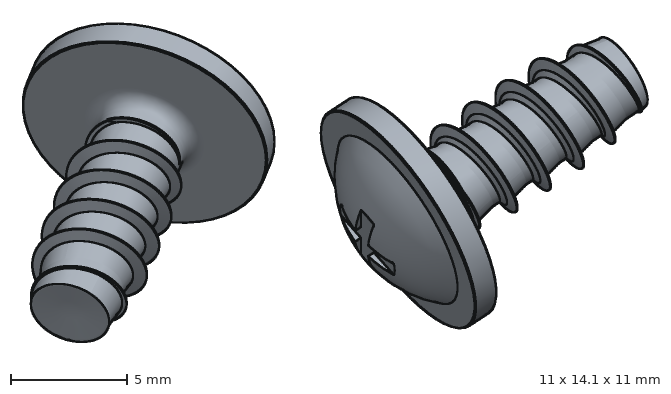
import cadquery as cq
import math


TOTAL_LENGTH = 14.12
FLANGE_DIAMETER = 11.0
FLANGE_THICKNESS = 1.19
FLANGE_CHAMFER = 0.05
DOME_RADIUS = 4.25
SPHERE_RADIUS = 5.55
SLOT_WIDTH = 0.92
SLOT_DEPTH = 0.31

NECK_RADIUS = 1.98
NECK_LENGTH = 1.24
NECK_TAPER_LENGTH = 0.76
HEAD_FILLET = 0.7
CORE_RADIUS = 1.76
DISH_RADIUS = 1.64
DISH_DEPTH = 0.23

FULL_START_Y = 8.09
FULL_TURNS = 3
FULL_LENGTH = 5.4
CREST_RADIUS = 2.5
CREST_WIDTH = 0.05
FOOT_RADIUS = 2.02
FOOT_OFFSET = 0.18
ROOT_RADIUS = 1.55
ROOT_HEAD_OFFSET = 0.54
ROOT_TIP_OFFSET = 0.31
LEAD_IN_TURNS = 1.25
LEAD_IN_SINK = 0.51

LEDGE_RADIUS = 2.17
LEDGE_THICKNESS = 0.07
LEDGE_START_TURN = -LEAD_IN_TURNS
LEDGE_MIDDLE_TURN = -1.0
LEDGE_END_TURN = -0.9

COLLAR_RADIUS = 1.98
COLLAR_SLOPE = 0.2
COLLAR_LENGTH = 1.35
TIP_TAPER_SLOPE = 0.2
CREST_CLEARANCE = 0.14

PIECES_PER_TURN = 2
PIECE_STEPS = 8

SLOT_CORNER_RADIUS = SLOT_WIDTH / math.sqrt(2)
APEX_Y = TOTAL_LENGTH + SPHERE_RADIUS - math.sqrt(SPHERE_RADIUS**2 - SLOT_CORNER_RADIUS**2)
DOME_HEIGHT = SPHERE_RADIUS - math.sqrt(SPHERE_RADIUS**2 - DOME_RADIUS**2)
FLANGE_RADIUS = FLANGE_DIAMETER / 2
FLANGE_TOP_Y = APEX_Y - DOME_HEIGHT
FLANGE_BOTTOM_Y = FLANGE_TOP_Y - FLANGE_THICKNESS
NECK_END_Y = FLANGE_BOTTOM_Y - NECK_LENGTH
PITCH = FULL_LENGTH / FULL_TURNS
RUN_OUT_SINK = CREST_RADIUS - CORE_RADIUS
LAST_TURN = FULL_START_Y / PITCH


def make_body():
    """Head, neck and plain core as one revolved outline (radius, Y)."""
    half_sweep = math.asin(DOME_RADIUS / SPHERE_RADIUS) / 2
    dome_middle = (
        SPHERE_RADIUS * math.sin(half_sweep),
        APEX_Y - SPHERE_RADIUS * (1 - math.cos(half_sweep)),
    )
    fillet_reach = HEAD_FILLET * (1 - math.sqrt(0.5))
    return (
        cq.Workplane("XY")
        .lineTo(CORE_RADIUS, 0)
        .lineTo(CORE_RADIUS, NECK_END_Y - NECK_TAPER_LENGTH)
        .lineTo(NECK_RADIUS, NECK_END_Y)
        .lineTo(NECK_RADIUS, FLANGE_BOTTOM_Y - HEAD_FILLET)
        .threePointArc(
            (NECK_RADIUS + fillet_reach, FLANGE_BOTTOM_Y - fillet_reach),
            (NECK_RADIUS + HEAD_FILLET, FLANGE_BOTTOM_Y),
        )
        .lineTo(FLANGE_RADIUS - FLANGE_CHAMFER, FLANGE_BOTTOM_Y)
        .lineTo(FLANGE_RADIUS, FLANGE_BOTTOM_Y + FLANGE_CHAMFER)
        .lineTo(FLANGE_RADIUS, FLANGE_TOP_Y - FLANGE_CHAMFER)
        .lineTo(FLANGE_RADIUS - FLANGE_CHAMFER, FLANGE_TOP_Y)
        .lineTo(DOME_RADIUS, FLANGE_TOP_Y)
        .threePointArc(dome_middle, (0, APEX_Y))
        .close()
        .revolve(360, (0, 0, 0), (0, 1, 0))
    )


def helix_point(turn, offset, radius):
    """Point of the thread, with the offset measured from the crest toward the tip."""
    angle = 2 * math.pi * turn
    y = FULL_START_Y - PITCH * turn - offset
    return cq.Vector(-radius * math.sin(angle), y, radius * math.cos(angle))


def helical_solid(profile, stages):
    """Wind a profile of (offset, radius) points; stages are (turn, inward shift) pairs."""
    rails = [[] for _ in profile]
    for (turn_a, sink_a), (turn_b, sink_b) in zip(stages, stages[1:]):
        pieces = math.ceil((turn_b - turn_a) * PIECES_PER_TURN)
        for piece in range(pieces):
            fractions = [(piece + step / PIECE_STEPS) / pieces for step in range(PIECE_STEPS + 1)]
            for rail, (offset, radius) in zip(rails, profile):
                points = []
                for fraction in fractions:
                    turn = turn_a + (turn_b - turn_a) * fraction
                    sink = sink_a + (sink_b - sink_a) * fraction
                    points.append(helix_point(turn, offset, radius - sink))
                rail.append(cq.Edge.makeSpline(points))

    faces = []
    for rail, next_rail in zip(rails, rails[1:] + rails[:1]):
        faces += [cq.Face.makeRuledSurface(a, b) for a, b in zip(rail, next_rail)]
    for turn, sink in (stages[0], stages[-1]):
        corners = [helix_point(turn, offset, radius - sink) for offset, radius in profile]
        faces.append(cq.Face.makeFromWires(cq.Wire.makePolygon(corners, close=True)))
    solid = cq.Solid.makeSolid(cq.Shell.makeShell(faces))
    return cq.Workplane(solid.fix())


def make_trim(tip_radius):
    """Solid that keeps the thread between tip and neck, opening from tip_radius at the tip."""
    outer_radius = CREST_RADIUS + CREST_CLEARANCE
    taper_end_y = (outer_radius - tip_radius) / TIP_TAPER_SLOPE
    return (
        cq.Workplane("XY")
        .lineTo(tip_radius, 0)
        .lineTo(outer_radius, taper_end_y)
        .lineTo(outer_radius, NECK_END_Y)
        .lineTo(0, NECK_END_Y)
        .close()
        .revolve(360, (0, 0, 0), (0, 1, 0))
    )


def make_tooth():
    """Cutting thread that rises out of the neck and sinks into the core at the tip."""
    profile = [
        (-ROOT_HEAD_OFFSET, ROOT_RADIUS),
        (-FOOT_OFFSET, FOOT_RADIUS),
        (-CREST_WIDTH / 2, CREST_RADIUS),
        (CREST_WIDTH / 2, CREST_RADIUS),
        (ROOT_TIP_OFFSET, ROOT_RADIUS),
    ]
    stages = [(-LEAD_IN_TURNS, LEAD_IN_SINK), (0, 0), (FULL_TURNS, 0), (LAST_TURN, RUN_OUT_SINK)]
    return helical_solid(profile, stages).intersect(make_trim(COLLAR_RADIUS))


def make_ledge():
    """Thin sector under the neck, rising from the neck surface to meet the first tooth."""
    rim = [
        helix_point(LEDGE_START_TURN, 0, NECK_RADIUS),
        helix_point(LEDGE_MIDDLE_TURN, 0, LEDGE_RADIUS),
        helix_point(LEDGE_END_TURN, 0, LEDGE_RADIUS),
    ]
    start, middle, end = [(point.x, point.z) for point in rim]
    return (
        cq.Workplane("XZ", origin=(0, NECK_END_Y, 0))
        .lineTo(*start)
        .threePointArc(middle, end)
        .close()
        .extrude(LEDGE_THICKNESS)
    )


def make_collar():
    """Conical flank from the foot of each tooth down to the core."""
    end_radius = COLLAR_RADIUS - COLLAR_SLOPE * COLLAR_LENGTH
    profile = [
        (0, ROOT_RADIUS),
        (0, COLLAR_RADIUS),
        (COLLAR_LENGTH, end_radius),
        (COLLAR_LENGTH, ROOT_RADIUS),
    ]
    stages = [(-LEAD_IN_TURNS, 0), (LAST_TURN, 0)]
    return helical_solid(profile, stages).intersect(make_trim(CORE_RADIUS))


def make_cross_slot():
    """Two flat-floored slots crossing at right angles over the dome."""
    floor_y = TOTAL_LENGTH - SLOT_DEPTH
    long_side = 2 * DOME_RADIUS
    bar = cq.Workplane("XY").box(long_side, 2 * SLOT_DEPTH, SLOT_WIDTH)
    cross = bar.union(bar.rotate((0, 0, 0), (0, 1, 0), 90))
    return cross.translate((0, floor_y + SLOT_DEPTH, 0))


def make_tip_dish():
    """Shallow cone that hollows the flat tip."""
    return (
        cq.Workplane("XY")
        .lineTo(DISH_RADIUS, 0)
        .lineTo(0, DISH_DEPTH)
        .close()
        .revolve(360, (0, 0, 0), (0, 1, 0))
    )


result = (
    make_body()
    .cut(make_cross_slot())
    .union(make_collar())
    .union(make_tooth())
    .union(make_ledge())
    .cut(make_tip_dish())
)